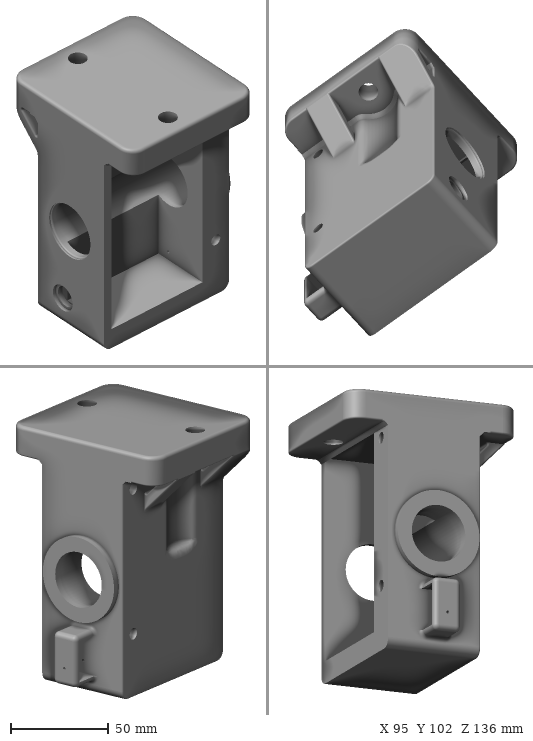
import cadquery as cq
import math

PLATE_WIDTH = 95.0
DEPTH = 86.0
HEIGHT = 136.0
PLATE_THICKNESS = 16.0
PLATE_CORNER_RADIUS = 9.0
PLATE_TOP_RADIUS = 2.0
UNDERSIDE_Z = HEIGHT - PLATE_THICKNESS
BOLT_SPACING = 69.9
BOLT_Y = 36.0
BOLT_HOLE_DIAMETER = 10.2

COLUMN_WIDTH = 52.0
COLUMN_LEFT = -COLUMN_WIDTH / 2
COLUMN_RIGHT = COLUMN_WIDTH / 2
COLUMN_BOTTOM_RADIUS = 5.0
EDGE_RADIUS = 1.0
NECK_CHAMFER = 2.0

OVERHANG = (PLATE_WIDTH - COLUMN_WIDTH) / 2
RIB_GAP = 32.9
REAR_RIB_WIDTH = 15.0
RIB_THICKNESS = 5.8
RIB_FOOT_RADIUS = 4.1
WEB_OVERLAP = 5.5

GROOVE_DIAMETER = 30.0
GROOVE_FLOOR_Z = 69.9
GROOVE_FLOOR_RADIUS = 2.0
GROOVE_RIM_RADIUS = 5.0

FRONT_WALL = 5.0
FLOOR_Z = 12.0
CAVITY_LEFT = -8.2
SCREW_Y = 76.8
REAR_WALL = 2 * (DEPTH - SCREW_Y)

AXIS_X = -0.5
MAIN_HOLE_Z = 62.0
MAIN_HOLE_DIAMETER = 30.0
MAIN_RECESS_DEPTH = 1.0
LOCK_X = AXIS_X - 5.5
LOCK_Z = 17.0
LOCK_HOLE_DIAMETER = 12.0
LOCK_RECESS_DIAMETER = 15.2
LOCK_RECESS_DEPTH = 2.0
PINHOLE_DIAMETER = 1.6
SCREW_HOLE_DIAMETER = 6.3
LOWER_SCREW_Z = 34.4
UPPER_SCREW_Z = 113.2

STAPLE_WIDTH = 15.2
STAPLE_BOTTOM = 7.3
STAPLE_HEIGHT = 28.3
STAPLE_REACH = 102.0 - DEPTH
STAPLE_BAR = 3.0
STAPLE_EDGE_RADIUS = 2.7
STAPLE_ROOT_RADIUS = 1.9

COLLAR_DIAMETER = 46.0
COLLAR_LENGTH = 4.1


def block(x0, x1, y0, y1, z0, z1):
    """Box between the given limits."""
    return cq.Workplane("XY").box(x1 - x0, y1 - y0, z1 - z0, centered=False).translate((x0, y0, z0))


def rod_along_y(diameter, x, z, y0, y1):
    """Cylinder along Y from y0 to y1."""
    return cq.Workplane("XZ", origin=(x, y0, z)).circle(diameter / 2).extrude(y0 - y1)


def plate_outline(z0, z1):
    """Upright prism with the rounded outline of the plate."""
    half = PLATE_WIDTH / 2
    return block(-half, half, 0, DEPTH, z0, z1).edges("|Z").fillet(PLATE_CORNER_RADIUS)


def make_plate():
    """Top plate with both rims rounded, before its holes are drilled."""
    plate = plate_outline(UNDERSIDE_Z, HEIGHT)
    plate = plate.faces(">Z").edges().fillet(PLATE_TOP_RADIUS)
    return plate.faces("<Z").edges().fillet(EDGE_RADIUS)


def make_groove_tool():
    """Round-bottomed cutter on the axis of the left bolt hole."""
    groove = cq.Workplane("XY", origin=(-BOLT_SPACING / 2, BOLT_Y, GROOVE_FLOOR_Z))
    groove = groove.circle(GROOVE_DIAMETER / 2).extrude(UNDERSIDE_Z - GROOVE_FLOOR_Z)
    return groove.faces("<Z").edges().fillet(GROOVE_FLOOR_RADIUS)


def make_column():
    """Column with its grooved left face, flaring into a head that sits inside the plate."""
    column = block(COLUMN_LEFT, COLUMN_RIGHT, 0, DEPTH, 0, UNDERSIDE_Z)
    column = column.faces("<Z").edges("|X").fillet(COLUMN_BOTTOM_RADIUS)
    column = column.cut(make_groove_tool())
    groove_mouth = cq.selectors.BoxSelector(
        (COLUMN_LEFT - EDGE_RADIUS, BOLT_Y - GROOVE_DIAMETER / 2, GROOVE_FLOOR_Z - EDGE_RADIUS),
        (COLUMN_LEFT + EDGE_RADIUS, BOLT_Y + GROOVE_DIAMETER / 2, UNDERSIDE_Z - EDGE_RADIUS),
    )
    column = column.edges(groove_mouth).fillet(GROOVE_RIM_RADIUS)

    head_left = COLUMN_LEFT - WEB_OVERLAP
    head_right = COLUMN_RIGHT + NECK_CHAMFER + EDGE_RADIUS
    head = block(head_left, head_right, 0, DEPTH, UNDERSIDE_Z, UNDERSIDE_Z + WEB_OVERLAP)
    column = column.union(head)
    neck = cq.selectors.BoxSelector(
        (COLUMN_LEFT - EDGE_RADIUS, EDGE_RADIUS, UNDERSIDE_Z - EDGE_RADIUS),
        (COLUMN_RIGHT + EDGE_RADIUS, DEPTH - EDGE_RADIUS, UNDERSIDE_Z + EDGE_RADIUS),
    )
    column = column.edges(neck).chamfer(NECK_CHAMFER)
    return column.edges("|Y").edges("<Z").edges("<X").fillet(EDGE_RADIUS)


def make_rib_window():
    """Triangular prism, as deep as the part, that opens the ribs below the plate."""
    rise = RIB_THICKNESS * math.sqrt(2)
    foot_z = UNDERSIDE_Z - OVERHANG
    corners = [
        (COLUMN_LEFT, UNDERSIDE_Z),
        (COLUMN_LEFT, foot_z + rise),
        (rise - PLATE_WIDTH / 2, UNDERSIDE_Z),
    ]
    window = cq.Workplane("XZ").polyline(corners).close().extrude(-DEPTH)
    window = window.edges("|Y and (<X or <Z)").fillet(EDGE_RADIUS)
    return window.edges("|Y").edges(">X").edges(">Z").chamfer(NECK_CHAMFER)


def make_rib(y0, y1):
    """Sloping rib with its window, overlapping the plate and the column that it joins."""
    outer = -PLATE_WIDTH / 2
    foot_z = UNDERSIDE_Z - OVERHANG
    foot_tangent = RIB_FOOT_RADIUS * math.tan(math.pi / 8)
    slope_step = foot_tangent / math.sqrt(2)
    arc_x = COLUMN_LEFT - RIB_FOOT_RADIUS * (1 - math.cos(math.pi / 8))
    arc_z = foot_z - foot_tangent + RIB_FOOT_RADIUS * math.sin(math.pi / 8)
    rib = cq.Workplane("XZ", origin=(0, y0, 0)).moveTo(outer - WEB_OVERLAP, UNDERSIDE_Z + WEB_OVERLAP)
    rib = rib.lineTo(COLUMN_LEFT - slope_step, foot_z + slope_step)
    rib = rib.threePointArc((arc_x, arc_z), (COLUMN_LEFT, foot_z - foot_tangent))
    rib = rib.lineTo(COLUMN_LEFT, foot_z - foot_tangent - WEB_OVERLAP)
    rib = rib.lineTo(COLUMN_LEFT + WEB_OVERLAP, foot_z - foot_tangent - WEB_OVERLAP)
    rib = rib.lineTo(COLUMN_LEFT + WEB_OVERLAP, UNDERSIDE_Z + WEB_OVERLAP)
    rib = rib.close().extrude(y0 - y1)
    rib = rib.intersect(plate_outline(0, UNDERSIDE_Z + WEB_OVERLAP))
    rib = rib.edges("|Z").edges("<Z").fillet(EDGE_RADIUS)
    rib = rib.cut(make_rib_window())
    window_rim = cq.selectors.BoxSelector(
        (COLUMN_LEFT - EDGE_RADIUS, y0 - EDGE_RADIUS, foot_z + RIB_THICKNESS),
        (COLUMN_LEFT + EDGE_RADIUS, y1 + EDGE_RADIUS, UNDERSIDE_Z - NECK_CHAMFER),
    )
    return rib.edges("|Z").edges(window_rim).fillet(EDGE_RADIUS)


def add_staple(housing):
    """Padlock loop on the rear face, with rounded outer edges and a flared root."""
    half = STAPLE_WIDTH / 2
    left = AXIS_X - half
    right = AXIS_X + half
    top = STAPLE_BOTTOM + STAPLE_HEIGHT
    loop = block(left, right, DEPTH - FRONT_WALL, DEPTH + STAPLE_REACH, STAPLE_BOTTOM, top)
    loop = loop.edges("not <Y").fillet(STAPLE_EDGE_RADIUS)
    housing = housing.union(loop)
    root = cq.selectors.BoxSelector(
        (left - EDGE_RADIUS, DEPTH - EDGE_RADIUS, STAPLE_BOTTOM - EDGE_RADIUS),
        (right + EDGE_RADIUS, DEPTH + EDGE_RADIUS, top + EDGE_RADIUS),
    )
    housing = housing.edges(root).fillet(STAPLE_ROOT_RADIUS)
    opening = block(
        left - STAPLE_ROOT_RADIUS,
        right + STAPLE_ROOT_RADIUS,
        DEPTH,
        DEPTH + STAPLE_REACH - STAPLE_BAR,
        STAPLE_BOTTOM + STAPLE_BAR,
        top - STAPLE_BAR,
    )
    return housing.cut(opening)


def cut_cavity(housing):
    """Hollow out the column from its right side."""
    return housing.cut(
        block(CAVITY_LEFT, COLUMN_RIGHT, FRONT_WALL, DEPTH - REAR_WALL, FLOOR_Z, UNDERSIDE_Z)
    )


def cut_main_hole(housing):
    """Large bore through the whole depth, with a rounded rim set back in a shallow recess."""
    bore_radius = MAIN_HOLE_DIAMETER / 2
    rim_radius = bore_radius + EDGE_RADIUS
    arc_step = EDGE_RADIUS * (1 - math.sqrt(0.5))
    half_section = cq.Workplane("XY").lineTo(rim_radius, 0).lineTo(rim_radius, MAIN_RECESS_DEPTH)
    half_section = half_section.threePointArc(
        (bore_radius + arc_step, MAIN_RECESS_DEPTH + arc_step),
        (bore_radius, MAIN_RECESS_DEPTH + EDGE_RADIUS),
    )
    half_section = half_section.lineTo(bore_radius, DEPTH).lineTo(0, DEPTH).close()
    cutter = half_section.revolve(360, (0, 0, 0), (0, 1, 0)).translate((AXIS_X, 0, MAIN_HOLE_Z))
    return housing.cut(cutter)


def cut_lock_hole(housing):
    """Counterbored hole in the front wall and a pinhole behind it in the rear wall."""
    housing = housing.cut(rod_along_y(LOCK_HOLE_DIAMETER, LOCK_X, LOCK_Z, 0, FRONT_WALL))
    housing = housing.cut(rod_along_y(LOCK_RECESS_DIAMETER, LOCK_X, LOCK_Z, 0, LOCK_RECESS_DEPTH))
    return housing.cut(rod_along_y(PINHOLE_DIAMETER, AXIS_X, LOCK_Z, FRONT_WALL, DEPTH + STAPLE_REACH))


def drill_bolt_holes(housing):
    """Two upright holes through the plate, beside the column."""
    holes = cq.Workplane("XY", origin=(0, BOLT_Y, UNDERSIDE_Z))
    holes = holes.pushPoints([(-BOLT_SPACING / 2, 0), (BOLT_SPACING / 2, 0)])
    return housing.cut(holes.circle(BOLT_HOLE_DIAMETER / 2).extrude(PLATE_THICKNESS))


def drill_screw_holes(housing):
    """Two holes across the column, in the middle of the rear wall."""
    holes = cq.Workplane("YZ", origin=(COLUMN_LEFT, SCREW_Y, 0))
    holes = holes.pushPoints([(0, LOWER_SCREW_Z), (0, UPPER_SCREW_Z)])
    return housing.cut(holes.circle(SCREW_HOLE_DIAMETER / 2).extrude(COLUMN_WIDTH))


def make_housing():
    """Plate, column, ribs and staple as one solid, with the cavity and all holes."""
    rear_rib_start = BOLT_Y + RIB_GAP / 2
    housing = make_plate().union(make_column())
    housing = housing.union(make_rib(0, BOLT_Y - RIB_GAP / 2))
    housing = housing.union(make_rib(rear_rib_start, rear_rib_start + REAR_RIB_WIDTH))
    housing = add_staple(housing)
    housing = cut_cavity(housing)
    housing = cut_main_hole(housing)
    housing = cut_lock_hole(housing)
    housing = drill_bolt_holes(housing)
    return drill_screw_holes(housing)


def make_collar():
    """Plain ring on the rear face, around the large bore."""
    rear = DEPTH + COLLAR_LENGTH
    collar = rod_along_y(COLLAR_DIAMETER, AXIS_X, MAIN_HOLE_Z, DEPTH, rear)
    return collar.cut(rod_along_y(MAIN_HOLE_DIAMETER, AXIS_X, MAIN_HOLE_Z, DEPTH, rear))


housing = make_housing()
collar = make_collar()

result = cq.Compound.makeCompound([*housing.vals()[0].Solids(), collar.val()])